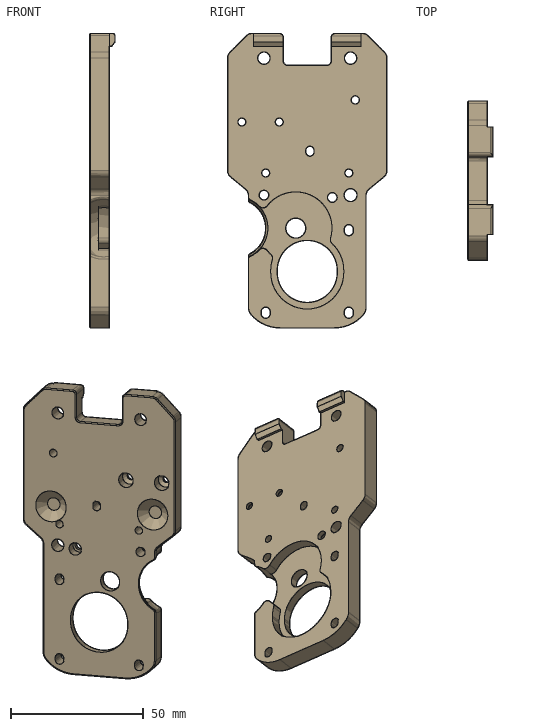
import cadquery as cq
import math

height = 110.9
head_width = 60.0
body_width = 44.4
plate_thickness = 7.5
total_thickness = 9.6
head_half = head_width / 2
body_half = body_width / 2

top_chamfer = 8.0
shoulder_top = 57.8
shoulder_bottom = 51.3
bottom_radius = 14.4
bottom_flat_half = 10.2
bottom_corner_radius = 4.4
corner_radius = 3.0
rim_chamfer = 0.4

notch_width = 18.0
notch_depth = 12.0
notch_radius = 1.5

hook_width = 11.3
hook_height = 4.9
hook_lead_depth = 1.2
hook_lead_height = 1.7
hook_edge_radius = 1.0

recess_floor = 3.3
gear_z = 37.6
wheel_y = -26.5
wheel_center_x = 5.3
wheel_radius = 11.9
wheel_lip_radius = 1.0
pinion_y = -4.3
pinion_hole_diameter = 7.4
pinion_recess_radius = 13.6
motor_z = 21.3
motor_hole_width = 22.5
motor_recess_radius = 13.7
motor_adjustment = 0.8
recess_corner_radius = 2.0

round_holes = [
    (16.3, 101.6, 4.5),
    (-16.3, 101.6, 4.5),
    (18.1, 85.8, 3.0),
    (15.6, 58.3, 2.9),
    (-15.6, 58.3, 2.9),
    (16.3, 50.0, 4.8),
    (-16.3, 50.0, 3.5),
    (pinion_y, gear_z, pinion_hole_diameter),
]

motor_slot_width = 3.3
motor_slot_height = motor_slot_width + motor_adjustment
slots = [
    (1.0, 66.5, 3.0, 3.7),
    (15.6, 36.8, motor_slot_width, motor_slot_height),
    (15.6, 5.8, motor_slot_width, motor_slot_height),
    (-15.6, 5.8, motor_slot_width, motor_slot_height),
    (0, motor_z, motor_hole_width, motor_hole_width + motor_adjustment),
]

stepped_holes = [
    (-10.5, 77.5, 5.7, 2.9),
    (-24.6, 77.5, 5.7, 2.9),
    (9.4, 49.1, 4.8, 3.5),
]
step_depth = 5.0

sink_places = [(19.0, 65.0), (-21.1, 65.0)]
sink_diameter = 12.0
sink_floor_diameter = 4.9

match_tolerance = 0.01
bowed_edge_tolerance = 0.1


def sketch_plane(x=0.0):
    """Workplane parallel to YZ at the given x, drawn in (y, z)."""
    return cq.Workplane("YZ", origin=(x, 0, 0))


def disc(y, z, radius, x_start, x_end):
    return sketch_plane(x_start).center(y, z).circle(radius).extrude(x_end - x_start)


def cone(y, z, start_radius, end_radius, x_start, x_end):
    section = sketch_plane(x_start).center(y, z).circle(start_radius)
    return section.workplane(offset=x_end - x_start).circle(end_radius).loft()


def upright_slot(y, z, width, slot_height, x_start, x_end):
    section = sketch_plane(x_start).center(y, z).slot2D(slot_height, width, 90)
    return section.extrude(x_end - x_start)


def lies_on_circle(edge, y, z, radius, tolerance=match_tolerance):
    """True if the middle of the edge, seen along X, is on the given circle."""
    center = edge.Center()
    return abs(math.hypot(center.y - y, center.z - z) - radius) < tolerance


def make_plate():
    arc_side_z = bottom_radius - math.sqrt(bottom_radius**2 - (body_half - bottom_flat_half) ** 2)
    plate = (
        sketch_plane()
        .moveTo(-bottom_flat_half, 0)
        .lineTo(bottom_flat_half, 0)
        .radiusArc((body_half, arc_side_z), -bottom_radius)
        .lineTo(body_half, shoulder_bottom)
        .lineTo(head_half, shoulder_top)
        .lineTo(head_half, height - top_chamfer)
        .lineTo(head_half - top_chamfer, height)
        .lineTo(-head_half + top_chamfer, height)
        .lineTo(-head_half, height - top_chamfer)
        .lineTo(-head_half, shoulder_top)
        .lineTo(-body_half, shoulder_bottom)
        .lineTo(-body_half, arc_side_z)
        .radiusArc((-bottom_flat_half, 0), -bottom_radius)
        .close()
        .extrude(plate_thickness)
    )
    upper_corners = plate.edges("|X").filter(lambda e: e.Center().z > shoulder_bottom - match_tolerance)
    plate = upper_corners.fillet(corner_radius)
    bottom_corners = plate.edges("|X").filter(lambda e: abs(e.Center().z - arc_side_z) < match_tolerance)
    return bottom_corners.fillet(bottom_corner_radius)


def make_hook(side):
    """Hook behind the top edge, with a slanted lower lead and a rounded outer top edge."""
    hook_bottom = height - hook_height
    profile = [
        (plate_thickness, height),
        (total_thickness, height),
        (total_thickness, hook_bottom + hook_lead_height),
        (total_thickness - hook_lead_depth, hook_bottom),
        (plate_thickness, hook_bottom),
    ]
    middle_y = side * (notch_width + hook_width) / 2
    hook = cq.Workplane("XZ", origin=(0, middle_y, 0)).polyline(profile).close()
    hook = hook.extrude(hook_width / 2, both=True)
    return hook.edges("|Y and >X and >Z").fillet(hook_edge_radius)


def make_notch():
    """Cutter for the top notch, with rounded inner corners and a flared mouth."""
    half = notch_width / 2
    floor = height - notch_depth
    return (
        sketch_plane()
        .moveTo(-half - notch_radius, height)
        .radiusArc((-half, height - notch_radius), notch_radius)
        .lineTo(-half, floor + notch_radius)
        .radiusArc((-half + notch_radius, floor), -notch_radius)
        .lineTo(half - notch_radius, floor)
        .radiusArc((half, floor + notch_radius), -notch_radius)
        .lineTo(half, height - notch_radius)
        .radiusArc((half + notch_radius, height), notch_radius)
        .close()
        .extrude(total_thickness)
    )


def make_recess():
    """Cutter for the back recess: pinion and motor pockets with rounded cusps between them."""
    depth_range = (recess_floor, plate_thickness)
    pinion = disc(pinion_y, gear_z, pinion_recess_radius, *depth_range)
    motor_width = 2 * motor_recess_radius
    motor = upright_slot(0, motor_z, motor_width, motor_width + motor_adjustment, *depth_range)
    upper_motor_z = motor_z + motor_adjustment / 2

    def is_cusp(edge):
        on_pinion = lies_on_circle(edge, pinion_y, gear_z, pinion_recess_radius)
        on_motor = lies_on_circle(edge, 0, upper_motor_z, motor_recess_radius)
        return on_pinion and on_motor

    return pinion.union(motor).edges("|X").filter(is_cusp).fillet(recess_corner_radius)


def is_recess_mouth(edge):
    """Edges across the plate thickness where the pinion pocket breaks into the wheel cutout."""
    box = edge.BoundingBox()
    on_pinion = lies_on_circle(edge, pinion_y, gear_z, pinion_recess_radius, bowed_edge_tolerance)
    return on_pinion and edge.Center().y < (pinion_y + wheel_y) / 2 and box.xlen > match_tolerance


def is_wheel_lip(edge):
    """Edges where the wheel cutout breaks through the straight -Y side."""
    box = edge.BoundingBox()
    on_side = abs(box.ymin + body_half) < match_tolerance and abs(box.ymax + body_half) < match_tolerance
    near_wheel = abs(edge.Center().z - gear_z) < wheel_radius
    return on_side and near_wheel and box.xlen > match_tolerance


def make_stepped_hole(y, z, outer_diameter, inner_diameter):
    cone_end = step_depth + (outer_diameter - inner_diameter) / 2
    hole = disc(y, z, outer_diameter / 2, 0, step_depth)
    hole = hole.union(cone(y, z, outer_diameter / 2, inner_diameter / 2, step_depth, cone_end))
    return hole.union(disc(y, z, inner_diameter / 2, 0, plate_thickness))


result = make_plate()
for side in (1, -1):
    result = result.union(make_hook(side))
result = result.cut(make_notch())

wheel = cq.Workplane("XY").sphere(wheel_radius).translate((wheel_center_x, wheel_y, gear_z))
result = result.cut(wheel)
result = result.edges().filter(is_wheel_lip).fillet(wheel_lip_radius)

result = result.faces("<X").edges().chamfer(rim_chamfer)

result = result.cut(make_recess())
result = result.edges().filter(is_recess_mouth).fillet(recess_corner_radius)

for y, z, diameter in round_holes:
    result = result.cut(disc(y, z, diameter / 2, 0, plate_thickness))
for y, z, width, slot_height in slots:
    result = result.cut(upright_slot(y, z, width, slot_height, 0, plate_thickness))
for y, z, outer_diameter, inner_diameter in stepped_holes:
    result = result.cut(make_stepped_hole(y, z, outer_diameter, inner_diameter))

sink_depth = (sink_diameter - sink_floor_diameter) / 2
for y, z in sink_places:
    result = result.cut(cone(y, z, sink_diameter / 2, sink_floor_diameter / 2, 0, sink_depth))